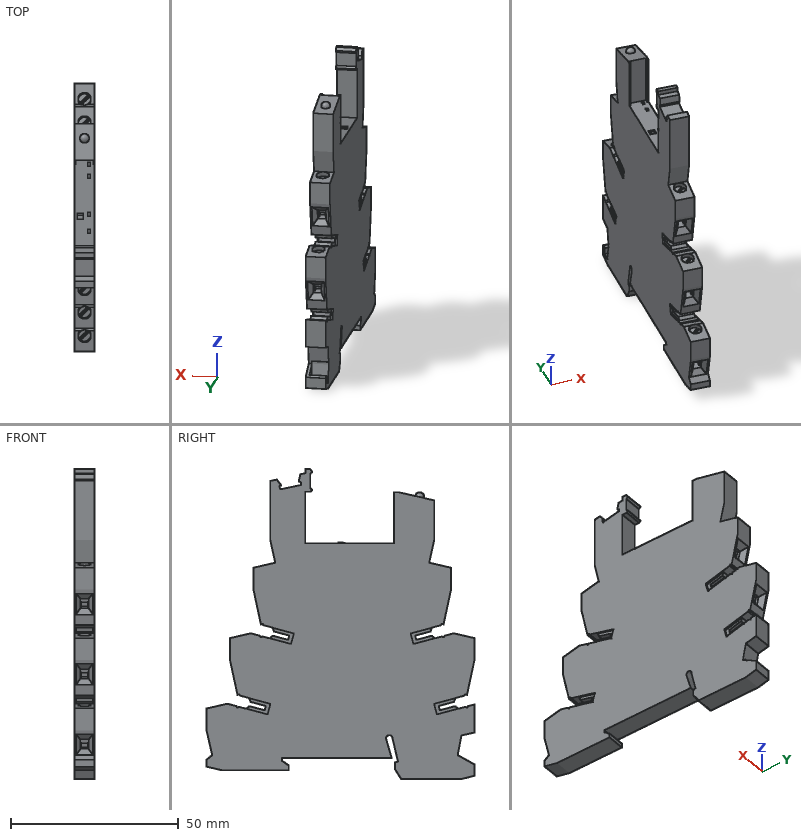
import cadquery as cq
import math

LEFT = 1
RIGHT = -1

THICKNESS = 6.1
HEIGHT = 92.6
RAIL_LENGTH = 80.0

TIER_PITCH_Y = 7.0
TIER_PITCH_Z = 21.0
TOP_TIER_Y = 29.5
TOP_TIER_Z = 63.1
TIER_ANGLE = math.radians(13)
TIER_WALL = 6.55
WIRE_FACE_DROP = 10.45
WIRE_FACE_INSET = 2.25
WIRE_FACE_ANGLE = math.atan2(WIRE_FACE_INSET, WIRE_FACE_DROP)
TIER_TOP_LENGTH = 6.25

SLOT_ANGLE = math.radians(15)
SLOT_HEIGHT = 3.25
SLOT_RUN = 12.0
GROOVE_WIDTH = 0.8
GROOVE_DEPTH = 0.4
GROOVE_FROM_PEAK = 2.8
HOLDER_WIDTH = 5.0
HOLDER_LENGTH = 6.6
HOLDER_LEAD_IN = 0.7
HOLDER_LIP = 1.0
HOLDER_END = 1.2

DECK_Z = 70.4
TOWER_OUTER_Y = 24.5
TOWER_WAIST_Y = 23.0
TOWER_BEND_Z = 71.4
LED_TOWER_INNER_Y = 12.4
LED_TOWER_TOP_Z = 85.6
LED_TOWER_FLAT = 1.6
CLIP_TOWER_INNER_Y = -14.0
TOWER_GROOVE_WIDTH = 5.1
TOWER_GROOVE_DEPTH = 1.1
LED_Y = 20.1
LED_RADIUS = 1.4
PIN_SLOT_X = 1.3
PIN_SLOT_YS = (12.4, 8.8, -2.6, -7.6)
PIN_SLOT_WIDTH = 0.7
PIN_SLOT_LENGTH = 1.2
PIN_SLOT_DEPTH = 3.0
KEY_X = -1.25
KEY_Y = -3.2
KEY_SIZE = 1.8
KEY_HEIGHT = 0.3
KEY_STEP_LENGTH = 0.6
KEY_STEP_HEIGHT = 0.15

STUB_Y = TOP_TIER_Y + TIER_PITCH_Y
RAIL_END_Y = STUB_Y - RAIL_LENGTH
RAIL_Z = 6.3
RAIL_LEDGE_Z = 2.6

SCREW_INSET = 4.6
SCREW_RADIUS = 1.9
SCREW_DEPTH = 1.5
SCREW_SLOT_WIDTH = 0.6
SCREW_SLOT_DEPTH = 0.6
SCREW_SLOT_ANGLE = 45
FUNNEL_WIDTH = 5.0
FUNNEL_HEIGHT = 6.4
FUNNEL_CENTRE_DROP = 4.3
FUNNEL_DEPTH = 1.8
THROAT_WIDTH = 2.5
THROAT_HEIGHT = 2.9
THROAT_DEPTH = 1.0
THROAT_DROP = 0.2
CLAMP_WIDTH = 1.9
CLAMP_HEIGHT = 1.6
CLAMP_DEPTH = 1.5

FOOT_WALL = 1.0
LIP_THICKNESS = 1.7
LIP_SHOULDER_Z = 4.4
LIP_CROWN_Z = 4.9
POCKET_OUTER_Z = 2.3
POCKET_INNER_Z = 1.8
RECESS_TOP_Z = 8.0

NECK_Y = STUB_Y - 5.0
NECK_Z = 7.2
HEEL_Y = STUB_Y - 3.9
STUB_UNDERSIDE = [(STUB_Y, 13.9), (HEEL_Y, 13.0), (NECK_Y, NECK_Z)]
FOOT = [
    (STUB_Y, LIP_SHOULDER_Z),
    (STUB_Y, 1.0),
    (HEEL_Y, 0),
    (14.6, 0),
    (12.7, 3.0),
    (12.7, 5.0),
    (13.6, 5.3),
    (11.95, 12.3),
]
FOOT_SLIT_CROWN = (10.95, 13.1)
FOOT_SLIT_END = (10.15, 12.0)
RAIL_SEAT = [(11.8, RAIL_Z), (-20.9, RAIL_Z), (-20.9, 5.5), (-18.9, 4.1), (-18.9, RAIL_LEDGE_Z)]
TOE = [
    (RAIL_END_Y + 4.8, RAIL_LEDGE_Z),
    (RAIL_END_Y, 3.7),
    (RAIL_END_Y, 5.8),
    (RAIL_END_Y + 1.7, 7.2),
]
CLIP = [
    (-TOWER_OUTER_Y, 89.0),
    (-22.5, 89.4),
    (-21.1, 87.6),
    (-21.7, 87.4),
    (-21.4, 86.5),
    (-15.3, 87.8),
    (-15.3, 88.5),
    (-16.0, 88.8),
    (-15.5, 91.0),
    (CLIP_TOWER_INNER_Y, 91.3),
    (CLIP_TOWER_INNER_Y, HEIGHT),
    (-12.6, HEIGHT),
    (-11.9, 91.7),
    (-12.5, 91.0),
    (-12.5, 86.9),
    (-11.9, 86.3),
    (-12.4, 85.7),
    (CLIP_TOWER_INNER_Y, 85.7),
]


def tier_corner(level):
    return TOP_TIER_Y + TIER_PITCH_Y * level, TOP_TIER_Z - TIER_PITCH_Z * level


def tier_peak(level):
    y, z = tier_corner(level)
    return y - TIER_TOP_LENGTH, z + TIER_TOP_LENGTH * math.tan(TIER_ANGLE)


def along_slot(start, out, up):
    """Offset a point along and across the slot direction, which rises outwards."""
    cos_a, sin_a = math.cos(SLOT_ANGLE), math.sin(SLOT_ANGLE)
    return start[0] + out * cos_a - up * sin_a, start[1] + out * sin_a + up * cos_a


def slot_end(level):
    """Lower inner corner of the slot above the given tier."""
    y, z = tier_peak(level)
    return y - SLOT_RUN, z - SLOT_RUN * math.tan(SLOT_ANGLE)


def tier_outer_face(level):
    y, z = tier_corner(level)
    wire_face_z = z - TIER_WALL
    return [(y, z), (y, wire_face_z), (y - WIRE_FACE_INSET, wire_face_z - WIRE_FACE_DROP)]


def slot_outline(level):
    """Slot between a tier and the next one down, from the grooved tip to the lower groove."""
    low_end = slot_end(level + 1)
    high_end = along_slot(low_end, 0, SLOT_HEIGHT)
    tip_y = tier_outer_face(level)[-1][0]
    tip_out = (tip_y - high_end[0]) / math.cos(SLOT_ANGLE)
    peak_out = SLOT_RUN / math.cos(SLOT_ANGLE)
    groove_out = peak_out - GROOVE_FROM_PEAK
    return [
        along_slot(high_end, tip_out - GROOVE_WIDTH / 2, GROOVE_DEPTH),
        along_slot(high_end, tip_out - GROOVE_WIDTH, 0),
        high_end,
        low_end,
        along_slot(low_end, groove_out - GROOVE_WIDTH, 0),
        along_slot(low_end, groove_out - GROOVE_WIDTH / 2, -GROOVE_DEPTH),
        along_slot(low_end, groove_out, 0),
    ]


def tower_side():
    waist_z = TOP_TIER_Z + (TOP_TIER_Y - TOWER_WAIST_Y) * math.tan(TIER_ANGLE)
    return [(TOWER_OUTER_Y, TOWER_BEND_Z), (TOWER_WAIST_Y, waist_z)]


def mirrored(points):
    return [(-y, z) for y, z in points]


def right_side():
    """Stepped -Y side, running down from the clip tower to the wire face of the lowest tier."""
    points = tower_side()
    for level in range(2):
        points += tier_outer_face(level) + slot_outline(level) + [tier_peak(level + 1)]
    return mirrored(points + tier_outer_face(2)[:2])


def left_side():
    """Stepped +Y side, running down from the LED tower to the stub above the foot."""
    stub_top_z = along_slot(slot_end(2), (STUB_Y - slot_end(2)[0]) / math.cos(SLOT_ANGLE), 0)[1]
    return (
        tower_side()
        + tier_outer_face(0)
        + slot_outline(0)
        + [tier_peak(1)]
        + tier_outer_face(1)
        + slot_outline(1)
        + [(STUB_Y, stub_top_z)]
        + STUB_UNDERSIDE
    )


def led_tower_slope_z(y):
    slope_start = LED_TOWER_INNER_Y + LED_TOWER_FLAT
    return LED_TOWER_TOP_Z - (y - slope_start) * math.tan(TIER_ANGLE)


def housing():
    led_tower_top = [
        (LED_TOWER_INNER_Y, LED_TOWER_TOP_Z),
        (LED_TOWER_INNER_Y + LED_TOWER_FLAT, LED_TOWER_TOP_Z),
        (TOWER_OUTER_Y, led_tower_slope_z(TOWER_OUTER_Y)),
    ]
    deck = [(CLIP_TOWER_INNER_Y, DECK_Z), (LED_TOWER_INNER_Y, DECK_Z)]
    right_side_upwards = right_side()[::-1]
    outline = cq.Workplane("YZ").polyline(left_side() + FOOT)
    outline = outline.threePointArc(FOOT_SLIT_CROWN, FOOT_SLIT_END)
    for point in RAIL_SEAT + TOE + right_side_upwards + CLIP + deck + led_tower_top:
        outline = outline.lineTo(*point)
    return outline.close().extrude(THICKNESS / 2, both=True)


def foot_recess():
    """Pocket behind the rounded foot lip, open at the -X face and backed by a thin plate."""
    lip_inner_y = STUB_Y - LIP_THICKNESS
    profile = cq.Workplane("YZ", origin=(-THICKNESS / 2, 0, 0)).moveTo(STUB_Y, LIP_SHOULDER_Z)
    profile = profile.threePointArc((STUB_Y - LIP_THICKNESS / 2, LIP_CROWN_Z), (lip_inner_y, LIP_SHOULDER_Z))
    profile = profile.lineTo(lip_inner_y, POCKET_OUTER_Z).lineTo(HEEL_Y, POCKET_INNER_Z)
    profile = profile.lineTo(NECK_Y, NECK_Z).lineTo(NECK_Y, RECESS_TOP_Z).lineTo(STUB_Y, RECESS_TOP_Z)
    return profile.close().extrude(THICKNESS - FOOT_WALL)


def marker_holder(side, level):
    """U-shaped marker holder lining the slot above the given tier."""
    y, z = slot_end(level)
    out = (0, side * math.cos(SLOT_ANGLE), math.sin(SLOT_ANGLE))
    frame = cq.Plane(origin=(0, side * y, z), xDir=out, normal=(side, 0, 0))
    lip_end = HOLDER_LENGTH - HOLDER_LEAD_IN
    gap_top = SLOT_HEIGHT - HOLDER_LIP
    holder = cq.Workplane(frame).polyline([
        (0, 0),
        (HOLDER_LENGTH, 0),
        (lip_end, HOLDER_LIP),
        (HOLDER_END, HOLDER_LIP),
        (HOLDER_END, gap_top),
        (lip_end, gap_top),
        (HOLDER_LENGTH, SLOT_HEIGHT),
        (0, SLOT_HEIGHT),
    ])
    return holder.close().extrude(HOLDER_WIDTH / 2, both=True)


def screw_recess(side, level):
    """Round recess in the sloping tier top, with the driver slot of the clamp screw at its floor."""
    y, z = tier_corner(level)
    normal = (0, side * math.sin(TIER_ANGLE), math.cos(TIER_ANGLE))
    centre = (0, side * (y - SCREW_INSET), z + SCREW_INSET * math.tan(TIER_ANGLE))
    top = cq.Workplane(cq.Plane(origin=centre, xDir=(1, 0, 0), normal=normal))
    bore = top.circle(SCREW_RADIUS).extrude(-SCREW_DEPTH)
    slot = top.transformed(rotate=(0, 0, SCREW_SLOT_ANGLE)).rect(2 * SCREW_RADIUS, SCREW_SLOT_WIDTH)
    slot = slot.extrude(-SCREW_DEPTH - SCREW_SLOT_DEPTH)
    core = top.circle(SCREW_RADIUS).extrude(-SCREW_DEPTH - SCREW_SLOT_DEPTH)
    return bore.union(slot.intersect(core))


def wire_funnel(side, level):
    """Tapered wire entry in the slanted face, ending in a stepped clamp opening."""
    y, z = tier_corner(level)
    drop = FUNNEL_CENTRE_DROP
    centre = (0, side * (y - drop * math.tan(WIRE_FACE_ANGLE)), z - TIER_WALL - drop)
    normal = (0, side * math.cos(WIRE_FACE_ANGLE), -math.sin(WIRE_FACE_ANGLE))
    face = cq.Workplane(cq.Plane(origin=centre, xDir=(-side, 0, 0), normal=normal))
    taper = face.rect(FUNNEL_WIDTH, FUNNEL_HEIGHT).workplane(offset=-FUNNEL_DEPTH)
    taper = taper.center(0, -THROAT_DROP).rect(THROAT_WIDTH, THROAT_HEIGHT).loft()
    throat = face.workplane(offset=-FUNNEL_DEPTH).center(0, -THROAT_DROP)
    opening = throat.rect(THROAT_WIDTH, THROAT_HEIGHT).extrude(-THROAT_DEPTH)
    clamp = throat.center(0, -(THROAT_HEIGHT - CLAMP_HEIGHT) / 2).rect(CLAMP_WIDTH, CLAMP_HEIGHT)
    return taper.union(opening).union(clamp.extrude(-THROAT_DEPTH - CLAMP_DEPTH))


def tower_groove():
    """Guide groove down the inner face of the LED tower."""
    height = LED_TOWER_TOP_Z - DECK_Z
    groove = cq.Workplane("XY", origin=(0, LED_TOWER_INNER_Y + TOWER_GROOVE_DEPTH / 2, DECK_Z))
    return groove.rect(TOWER_GROOVE_WIDTH, TOWER_GROOVE_DEPTH).extrude(height)


def pin_slots():
    deck = cq.Workplane("XY", origin=(0, 0, DECK_Z))
    slots = deck.pushPoints([(PIN_SLOT_X, y) for y in PIN_SLOT_YS])
    return slots.rect(PIN_SLOT_WIDTH, PIN_SLOT_LENGTH).extrude(-PIN_SLOT_DEPTH)


def deck_key():
    """Low square key on the deck, with a lower step along its +Y edge."""
    key = cq.Workplane("XY", origin=(KEY_X, KEY_Y, DECK_Z)).rect(KEY_SIZE, KEY_SIZE).extrude(KEY_HEIGHT)
    step_y = KEY_Y + (KEY_SIZE - KEY_STEP_LENGTH) / 2
    step = cq.Workplane("XY", origin=(KEY_X, step_y, DECK_Z + KEY_STEP_HEIGHT))
    return key.cut(step.rect(KEY_SIZE, KEY_STEP_LENGTH).extrude(KEY_HEIGHT))


def led():
    return cq.Workplane("XY", origin=(0, LED_Y, led_tower_slope_z(LED_Y))).sphere(LED_RADIUS)


result = housing().cut(foot_recess()).cut(tower_groove()).cut(pin_slots())
for side, level in ((RIGHT, 0), (RIGHT, 1), (RIGHT, 2), (LEFT, 0), (LEFT, 1)):
    result = result.cut(screw_recess(side, level)).cut(wire_funnel(side, level))
for side in (LEFT, RIGHT):
    for level in (1, 2):
        result = result.union(marker_holder(side, level))
result = result.union(deck_key()).union(led())